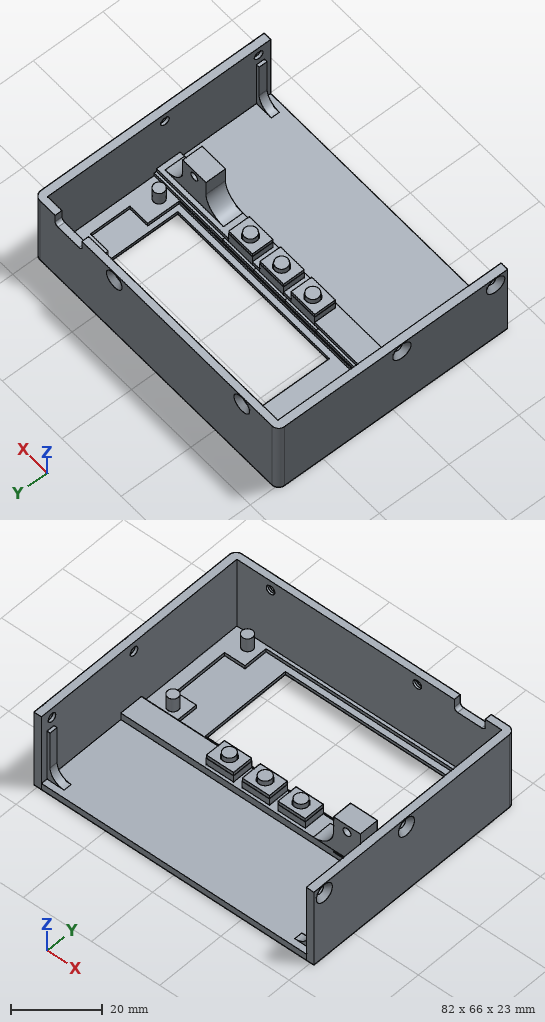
import cadquery as cq
import math

width = 82.0
depth = 66.0
height = 23.0
middle_x = width / 2

side_wall = 2.2
back_wall = 2.0
corner_radius = 2.0
inner_left = side_wall
inner_right = width - side_wall
inner_back = depth - back_wall

screw_z = 20.1
screw_diameter = 2.5
screw_head_diameter = 5.25
screw_cone_depth = (screw_head_diameter - screw_diameter) / 2
side_screw_ys = [3.45, 30.3]
back_screw_xs = [12.05, 55.0]

notch_left = 65.9
notch_right = 74.95
notch_floor_z = 19.5
notch_radius = 1.0

rib_front = 1.8
rib_back = 4.1
rib_thickness = 0.9
rib_top_z = 17.05
rib_radius = 4.1

floor_thickness = 2.0
recess_floor_z = 1.0
recess_left = 11.6
recess_right = 71.1
recess_front = 33.7
recess_back = 63.1
left_bay_x = 5.6
left_bay_front = 40.3
left_bay_back = 56.25
right_bay_x = 77.1
right_bay_front = 42.7
right_bay_back = 54.0
window_left = 18.7
window_right = 69.7
window_front = 35.3
window_back = 61.5

post_diameter = 3.1
post_top_z = 6.0
post_xs = [8.1, 74.5]
post_ys = [36.5, 60.9]

rail_front = 26.0
rail_back = 32.8
rail_top_z = 4.0
ledge_back = 33.45
ledge_top_z = 2.95

switch_pitch = 10.5
switch_width = 8.0
switch_depth = 6.0
switch_base_top_z = 6.0
switch_top_z = 7.0
switch_xs = [middle_x + step * switch_pitch for step in (-1, 0, 1)]
switch_y = rail_back - switch_depth / 2
cap_inset = 0.04
button_y = 29.9
button_diameter = 3.5
button_hole_diameter = 3.9
button_top_z = 8.2

bracket_x = 68.5
bracket_width = 7.9
bracket_radius = 5.9
bracket_back = 31.6
bracket_top_z = 14.5
bracket_hole_z = 12.4
bracket_hole_diameter = 2.3
slit_z = 3.4
slit_height = 0.25
slit_depth = 0.8


def block(left, right, front, back, bottom, top):
    """A box given by its limits along X, Y and Z."""
    return cq.Workplane("XY").box(
        right - left, back - front, top - bottom, centered=False
    ).translate((left, front, bottom))


def screw_cutter(point, inward):
    """A screw hole with its countersink, starting at a point on the outside of a wall."""
    start = cq.Vector(*point)
    direction = cq.Vector(*inward)
    bore = cq.Solid.makeCylinder(screw_diameter / 2, 2 * side_wall, start, direction)
    cone = cq.Solid.makeCone(
        screw_head_diameter / 2, screw_diameter / 2, screw_cone_depth, start, direction
    )
    return cq.Workplane(bore.fuse(cone))


def make_left_rib():
    """A thin upright on the left wall that curves out onto the floor."""
    face_x = inner_left + rib_thickness
    arc_offset = rib_radius * (1 - math.sqrt(0.5))
    return (
        cq.Workplane("XZ", origin=(0, rib_back, 0))
        .moveTo(inner_left, floor_thickness)
        .lineTo(face_x + rib_radius, floor_thickness)
        .threePointArc(
            (face_x + arc_offset, floor_thickness + arc_offset),
            (face_x, floor_thickness + rib_radius),
        )
        .lineTo(face_x, rib_top_z)
        .lineTo(inner_left, rib_top_z)
        .close()
        .extrude(rib_back - rib_front)
    )


def make_wall_frame():
    """The side and back walls with their ribs, screw holes and cable notch."""
    outline = block(0, width, 0, depth, 0, height).edges("|Z and >Y").fillet(corner_radius)
    frame = outline.cut(block(inner_left, inner_right, 0, inner_back, 0, height))

    left_rib = make_left_rib()
    right_rib = left_rib.mirror("YZ", (middle_x, 0, 0))
    frame = frame.union(left_rib).union(right_rib)

    for y in side_screw_ys:
        frame = frame.cut(screw_cutter((0, y, screw_z), (1, 0, 0)))
        frame = frame.cut(screw_cutter((width, y, screw_z), (-1, 0, 0)))
    for x in back_screw_xs:
        frame = frame.cut(screw_cutter((x, depth, screw_z), (0, -1, 0)))

    notch = block(notch_left, notch_right, inner_back, depth, notch_floor_z, height)
    return frame.cut(notch.edges("|Y and <Z").fillet(notch_radius))


def make_floor_panel(switches):
    """The floor with its display recess, posts and rail; the switches sit in matching pockets."""
    panel = block(inner_left, inner_right, 0, inner_back, 0, floor_thickness)

    recess = block(recess_left, recess_right, recess_front, recess_back, recess_floor_z, floor_thickness)
    left_bay = block(left_bay_x, recess_left, left_bay_front, left_bay_back, recess_floor_z, floor_thickness)
    right_bay = block(
        recess_right, right_bay_x, right_bay_front, right_bay_back, recess_floor_z, floor_thickness
    )
    window = block(window_left, window_right, window_front, window_back, 0, recess_floor_z)
    for opening in (recess, left_bay, right_bay, window):
        panel = panel.cut(opening)

    posts = (
        cq.Workplane("XY", origin=(0, 0, floor_thickness))
        .pushPoints([(x, y) for x in post_xs for y in post_ys])
        .circle(post_diameter / 2)
        .extrude(post_top_z - floor_thickness)
    )
    rail = block(inner_left, inner_right, rail_front, rail_back, floor_thickness, rail_top_z)
    ledge = block(inner_left, inner_right, rail_back, ledge_back, floor_thickness, ledge_top_z)
    slit = block(
        bracket_x - bracket_width / 2,
        bracket_x + bracket_width / 2,
        rail_front,
        rail_front + slit_depth,
        slit_z,
        slit_z + slit_height,
    )
    panel = panel.union(posts).union(rail).union(ledge).cut(slit)

    for switch in switches:
        panel = panel.cut(switch)
    return panel


def button_cylinder(x, diameter, top_z):
    """A cylinder on the button axis, standing on top of the switch base."""
    return (
        cq.Workplane("XY", origin=(x, button_y, switch_base_top_z))
        .circle(diameter / 2)
        .extrude(top_z - switch_base_top_z)
    )


def make_switch(x):
    """A block standing in the rail: a base with a foot along its back, and a cap with a round hole."""
    base = block(
        x - switch_width / 2,
        x + switch_width / 2,
        rail_back - switch_depth,
        rail_back,
        floor_thickness,
        switch_base_top_z,
    )
    foot = block(
        x - switch_pitch / 2, x + switch_pitch / 2, rail_back, ledge_back, floor_thickness, ledge_top_z
    )
    cap = (
        cq.Workplane("XY", origin=(x, switch_y, switch_base_top_z))
        .rect(switch_width - 2 * cap_inset, switch_depth - 2 * cap_inset)
        .extrude(switch_top_z - switch_base_top_z)
    )
    hole = button_cylinder(x, button_hole_diameter, switch_top_z)
    return base.union(foot).union(cap).cut(hole)


def make_button(x):
    """A round button standing in the hole of its switch with a small gap all round."""
    return button_cylinder(x, button_diameter, button_top_z)


def make_bracket():
    """An upright lug that flares onto the rail with concave arcs, with a hole through it along Y."""
    half_top = bracket_width / 2
    half_base = half_top + bracket_radius
    arc_offset = bracket_radius * (1 - math.sqrt(0.5))
    lug = (
        cq.Workplane("XZ", origin=(bracket_x, bracket_back, rail_top_z))
        .moveTo(-half_base, 0)
        .lineTo(half_base, 0)
        .threePointArc((half_top + arc_offset, arc_offset), (half_top, bracket_radius))
        .lineTo(half_top, bracket_top_z - rail_top_z)
        .lineTo(-half_top, bracket_top_z - rail_top_z)
        .lineTo(-half_top, bracket_radius)
        .threePointArc((-half_top - arc_offset, arc_offset), (-half_base, 0))
        .close()
        .extrude(bracket_back - rail_front)
    )
    hole = (
        cq.Workplane("XZ", origin=(bracket_x, bracket_back, bracket_hole_z))
        .circle(bracket_hole_diameter / 2)
        .extrude(bracket_back - rail_front)
    )
    return lug.cut(hole)


wall_frame = make_wall_frame()
switches = [make_switch(x) for x in switch_xs]
buttons = [make_button(x) for x in switch_xs]
floor_panel = make_floor_panel(switches)
bracket = make_bracket()

result = cq.Compound.makeCompound(
    [
        wall_frame.val(),
        floor_panel.val(),
        bracket.val(),
        *[switch.val() for switch in switches],
        *[button.val() for button in buttons],
    ]
)